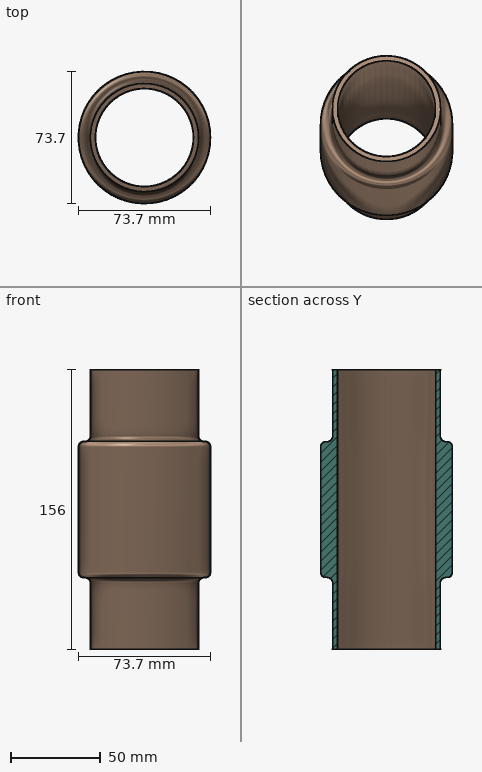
import cadquery as cq

total_length = 156.0
pipe_diameter = 60.3
bore_diameter = 54.5
body_diameter = 73.7
body_length = 76.0
rim_radius = 3.0
root_radius = 3.0
selection_margin = 0.1


def cylinder(diameter, length):
    """Cylinder on the Z axis, centred on the origin."""
    return cq.Workplane("XY").cylinder(length, diameter / 2)


def make_body():
    """Thick middle section with rounded rims."""
    return cylinder(body_diameter, body_length).faces("<Z or >Z").edges().fillet(rim_radius)


def root_edges():
    """Selector for the two circles where the pipe ends meet the body shoulders."""
    reach = pipe_diameter / 2 + selection_margin
    height = body_length / 2 + selection_margin
    return cq.selectors.BoxSelector(
        (-reach, -reach, -height),
        (reach, reach, height),
        boundingbox=True,
    )


def make_outside():
    """Pipe ends and body joined, with filleted roots."""
    outside = cylinder(pipe_diameter, total_length).union(make_body())
    return outside.edges(root_edges()).fillet(root_radius)


result = make_outside().cut(cylinder(bore_diameter, total_length))